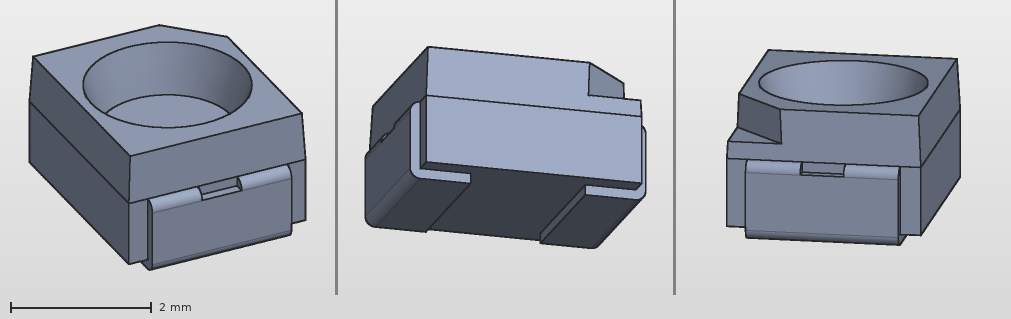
import cadquery as cq
import math

overall_length = 3.5
body_width = 2.8

lead_thickness = 0.15
lead_width = 2.205
foot_length = 0.9
lead_notch_width = 0.625

base_height = 1.0
body_length = overall_length - 2 * lead_thickness
base_top = lead_thickness + base_height

frame_height = 0.75
draft_angle = 3.0
top_cavity_diameter = 2.4
floor_cavity_diameter = 2.0

mark_leg = 0.8
mark_depth = 0.5


def make_base():
    """Rectangular block whose top face is the floor of the cavity."""
    return (
        cq.Workplane("XY", origin=(0, 0, lead_thickness))
        .rect(body_length, body_width)
        .extrude(base_height)
    )


def make_cavity():
    """Conical reflector opening, wider at the top."""
    return (
        cq.Workplane("XY", origin=(0, 0, base_top))
        .circle(floor_cavity_diameter / 2)
        .workplane(offset=frame_height)
        .circle(top_cavity_diameter / 2)
        .loft()
    )


def make_polarity_mark():
    """Triangular prism removed from the -X, +Y corner."""
    corner_x = -body_length / 2
    corner_y = body_width / 2
    mark_floor = base_top + frame_height - mark_depth
    return (
        cq.Workplane("XY", origin=(corner_x, corner_y, mark_floor))
        .polyline([(0, 0), (mark_leg, 0), (0, -mark_leg)])
        .close()
        .extrude(mark_depth)
    )


def make_frame():
    """Drafted block with the reflector opening and the polarity mark."""
    block = (
        cq.Workplane("XY", origin=(0, 0, base_top))
        .rect(body_length, body_width)
        .extrude(frame_height, taper=draft_angle)
    )
    return block.cut(make_cavity()).cut(make_polarity_mark())


def make_lead(side):
    """L-shaped lead at the -X end (side = -1) or the +X end (side = 1)."""
    inner_x = side * body_length / 2
    outer_x = side * overall_length / 2
    foot_x = side * (overall_length / 2 - foot_length)
    bend = lead_thickness
    arc_offset = bend * math.sqrt(0.5)
    arc_x = inner_x + side * arc_offset
    shoulder = base_top - bend

    strip = (
        cq.Workplane("XZ")
        .moveTo(foot_x, 0)
        .lineTo(inner_x, 0)
        .threePointArc((arc_x, bend - arc_offset), (outer_x, bend))
        .lineTo(outer_x, shoulder)
        .threePointArc((arc_x, shoulder + arc_offset), (inner_x, base_top))
        .lineTo(inner_x, lead_thickness)
        .lineTo(foot_x, lead_thickness)
        .close()
        .extrude(lead_width / 2, both=True)
    )
    notch = (
        cq.Workplane("XY", origin=((inner_x + outer_x) / 2, 0, shoulder))
        .rect(lead_thickness, lead_notch_width)
        .extrude(bend)
    )
    return strip.cut(notch)


base = make_base()
frame = make_frame()
leads = [make_lead(side) for side in (-1, 1)]

result = cq.Compound.makeCompound([base.val(), frame.val(), *[lead.val() for lead in leads]])